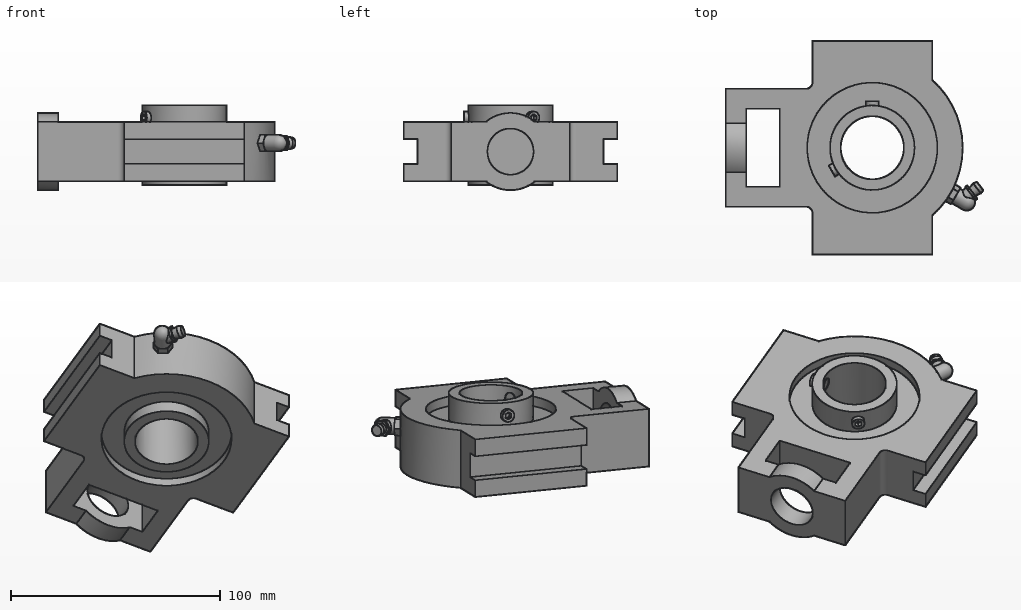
import cadquery as cq
import math


HEX_SIDES = 6

BODY_HEIGHT = 28.4
FRONT_X = -70.0
NECK_WIDTH = 56.4
WING_LENGTH = 57.2
WING_SPAN = 102.0
ROUND_RADIUS = 43.2
NECK_FILLET = 3.0
GUIDE_HEIGHT = 11.8
GUIDE_DEPTH = 6.5

WALL = 10.0
WINDOW_LENGTH = 15.9
WINDOW_WIDTH = 37.2
EYE_DIAMETER = 36.9
EYE_HOLE = 22.0

SEAT_DIAMETER = 62.2
OUTER_RING_HEIGHT = 19.0
SLEEVE_DIAMETER = 40.4
SLEEVE_TOP = 22.2
SLEEVE_BOTTOM = -16
BORE = 30.0

SCREW_DIAMETER = 6.0
SCREW_Z = 16.1
SCREW_TIP_RADIUS = 22.3
SCREW_ANGLES = (90, 210)
SCREW_INNER_RADIUS = 15.1
SOCKET_FLATS = 3.0
SOCKET_DEPTH = 2.5

NIPPLE_Z = 4.1
NIPPLE_ANGLE = -30
NIPPLE_DIAMETER = 8.0
NIPPLE_ROOT_RADIUS = 39.4
HEX_END_RADIUS = 46.0
ELBOW_END_RADIUS = 52.1
SPOUT_RADIUS = 49.6
SPOUT_ANGLE = 37.5
SPOUT_STEM = 7.0
COLLAR_FLATS = 7.0
SPOUT_NECK = 5.2
SPOUT_HEAD = 6.0
SPOUT_TIP = 5.3
COLLAR_START = 4.9
COLLAR_END = 6.0
HEAD_START = 6.6
HEAD_TAPER_START = 8.9
SPOUT_LENGTH = 10.7


def cylinder_z(diameter, bottom, top):
    return cq.Workplane("XY").workplane(offset=bottom).circle(diameter / 2).extrude(top - bottom)


def block(length, width, height, x, y):
    return cq.Workplane("XY").box(length, width, height).translate((x, y, 0))


def hex_corners(flats):
    """Across-corners size of a hexagon from its size across flats."""
    return flats / math.cos(math.pi / HEX_SIDES)


def axis_plane(radius, angle, z):
    """Plane at a radius and angle round Z, facing radially outward."""
    turn = math.radians(angle)
    origin = (radius * math.cos(turn), radius * math.sin(turn), z)
    normal = (math.cos(turn), math.sin(turn), 0)
    return cq.Workplane(cq.Plane(origin, xDir=(0, 0, 1), normal=normal))


def make_housing():
    wing_end = WING_LENGTH / 2
    neck_length = -wing_end - FRONT_X
    wings = block(WING_LENGTH, WING_SPAN, BODY_HEIGHT, 0, 0)
    neck = block(neck_length, NECK_WIDTH, BODY_HEIGHT, FRONT_X + neck_length / 2, 0)
    housing = wings.union(neck)
    corner_y = NECK_WIDTH / 2
    lower_corner = cq.selectors.NearestToPointSelector((-wing_end, -corner_y, 0))
    upper_corner = cq.selectors.NearestToPointSelector((-wing_end, corner_y, 0))
    housing = housing.edges("|Z").edges(lower_corner + upper_corner).fillet(NECK_FILLET)

    round_end = cylinder_z(2 * ROUND_RADIUS, -BODY_HEIGHT / 2, BODY_HEIGHT / 2)
    keep_right = block(ROUND_RADIUS, WING_SPAN, BODY_HEIGHT, ROUND_RADIUS / 2, 0)
    housing = housing.union(round_end.intersect(keep_right))

    for side in (-1, 1):
        guide_y = side * (WING_SPAN - GUIDE_DEPTH) / 2
        housing = housing.cut(block(WING_LENGTH, GUIDE_DEPTH, GUIDE_HEIGHT, 0, guide_y))
    return housing


def add_screw_end(housing):
    eye = cq.Workplane("YZ").workplane(offset=FRONT_X).circle(EYE_DIAMETER / 2).extrude(WALL)
    window_x = FRONT_X + WALL + WINDOW_LENGTH / 2
    window = block(WINDOW_LENGTH, WINDOW_WIDTH, BODY_HEIGHT, window_x, 0)
    hole = cq.Workplane("YZ").workplane(offset=FRONT_X).circle(EYE_HOLE / 2).extrude(WALL)
    return housing.cut(window).union(eye).cut(hole)


def add_bearing(housing):
    seat = cylinder_z(SEAT_DIAMETER, -BODY_HEIGHT / 2, BODY_HEIGHT / 2)
    outer_ring = cylinder_z(SEAT_DIAMETER, -OUTER_RING_HEIGHT / 2, OUTER_RING_HEIGHT / 2)
    sleeve = cylinder_z(SLEEVE_DIAMETER, SLEEVE_BOTTOM, SLEEVE_TOP)
    bore = cylinder_z(BORE, SLEEVE_BOTTOM, SLEEVE_TOP)
    return housing.cut(seat).union(outer_ring).union(sleeve).cut(bore)


def add_set_screw(body, angle):
    inner_end = axis_plane(SCREW_INNER_RADIUS, angle, SCREW_Z)
    screw = inner_end.circle(SCREW_DIAMETER / 2).extrude(SCREW_TIP_RADIUS - SCREW_INNER_RADIUS)
    open_hole = inner_end.circle(SCREW_DIAMETER / 2).extrude(-SCREW_DIAMETER / 2)
    outer_end = axis_plane(SCREW_TIP_RADIUS, angle, SCREW_Z)
    socket = outer_end.polygon(HEX_SIDES, hex_corners(SOCKET_FLATS)).extrude(-SOCKET_DEPTH)
    return body.union(screw).cut(open_hole).cut(socket)


def make_nipple():
    root = axis_plane(NIPPLE_ROOT_RADIUS, NIPPLE_ANGLE, NIPPLE_Z)
    hexagon = (
        root.transformed(rotate=(0, 0, 180 / HEX_SIDES))
        .polygon(HEX_SIDES, hex_corners(NIPPLE_DIAMETER))
        .extrude(HEX_END_RADIUS - NIPPLE_ROOT_RADIUS)
    )
    barrel = root.circle(NIPPLE_DIAMETER / 2).extrude(ELBOW_END_RADIUS - NIPPLE_ROOT_RADIUS)
    dome = axis_plane(ELBOW_END_RADIUS, NIPPLE_ANGLE, NIPPLE_Z).sphere(NIPPLE_DIAMETER / 2)
    return hexagon.union(barrel).union(dome).union(make_spout())


def make_spout():
    """Stem, hexagonal collar and ball-grip head, turned about Y and then swung into place."""
    outline = (
        (0, 0),
        (SPOUT_STEM / 2, 0),
        (SPOUT_STEM / 2, COLLAR_START),
        (SPOUT_NECK / 2, COLLAR_START),
        (SPOUT_NECK / 2, HEAD_START),
        (SPOUT_HEAD / 2, HEAD_TAPER_START),
        (SPOUT_TIP / 2, SPOUT_LENGTH),
        (0, SPOUT_LENGTH),
    )
    spout = cq.Workplane("XY").polyline(outline).close().revolve(360, (0, 0), (0, 1))
    collar = (
        cq.Workplane("XZ", origin=(0, COLLAR_START, 0))
        .polygon(HEX_SIDES, hex_corners(COLLAR_FLATS))
        .extrude(COLLAR_START - COLLAR_END)
    )
    spout = spout.union(collar)
    turn = math.radians(NIPPLE_ANGLE)
    origin = (SPOUT_RADIUS * math.cos(turn), SPOUT_RADIUS * math.sin(turn), NIPPLE_Z)
    return spout.rotate((0, 0, 0), (0, 0, 1), SPOUT_ANGLE - 90).translate(origin)


result = add_bearing(add_screw_end(make_housing()))
for screw_angle in SCREW_ANGLES:
    result = add_set_screw(result, screw_angle)
result = result.union(make_nipple())